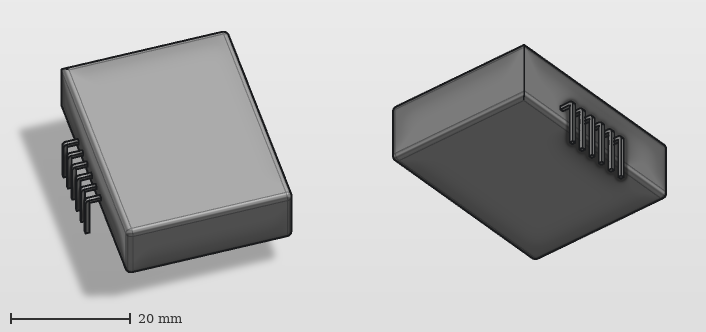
import cadquery as cq

length = 38.0
depth = 29.0
height = 11.02
edge_radius = 1.0

pin_count = 6
pin_pitch = 2.55
pin_thickness = 0.7
first_pin_x = 9.85
pin_reach = 2.7
pin_drop = 5.32
pin_top = 3.08


def make_housing():
    """Block with every edge rounded except the sharp front-left vertical one."""
    block = cq.Workplane("XY").box(length, depth, height, centered=False)
    sharp_edge = cq.selectors.NearestToPointSelector((0, 0, height / 2))
    rounded_edges = cq.selectors.SubtractSelector(cq.selectors.BoxSelector(
        (-0.38, -0.38, -0.38), (length + 0.38, depth + 0.38, height + 0.38)), sharp_edge)
    return block.edges(rounded_edges).fillet(edge_radius)


def make_pin(center_x):
    """Square pin, bent down, rounded on the outside of the bend only."""
    embed = pin_thickness
    bend_y = pin_thickness - pin_reach
    bend_z = pin_top - pin_thickness
    profile = (
        cq.Workplane("YZ", origin=(center_x - pin_thickness / 2, 0, 0))
        .moveTo(embed, pin_top)
        .lineTo(bend_y, pin_top)
        .radiusArc((-pin_reach, bend_z), -pin_thickness)
        .lineTo(-pin_reach, -pin_drop)
        .lineTo(bend_y, -pin_drop)
        .lineTo(bend_y, bend_z)
        .lineTo(embed, bend_z)
        .close()
    )
    return profile.extrude(pin_thickness)


result = make_housing()
for index in range(pin_count):
    result = result.union(make_pin(first_pin_x + index * pin_pitch))